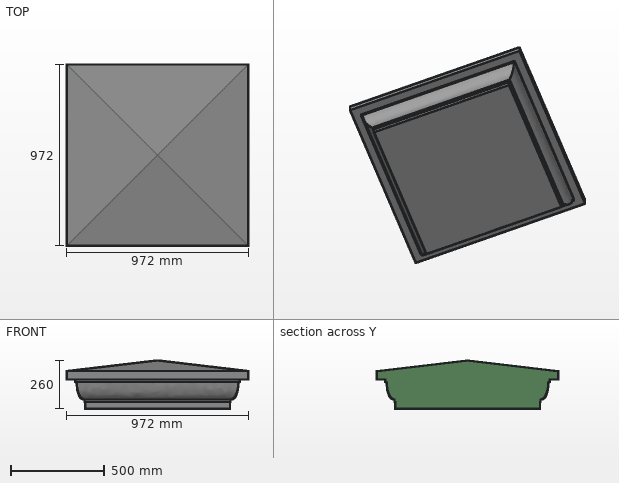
import cadquery as cq

slab_width = 972.0
total_height = 260.0
plinth_width = 775.0

plinth_top = 37.0
lower_fillet_top = 50.0
ovolo_top = 138.0
upper_fillet_bottom = 145.0
slab_bottom = 157.0
slab_top = 203.0

lower_fillet_width = 782.0
ovolo_bottom_width = 789.0
ovolo_shoulder_width = 839.0
ovolo_shoulder_height = 73.0
ovolo_top_width = 865.0
upper_fillet_width = 880.0

bottom_tangent = (1, 0.4)
shoulder_tangent = (0.4, 1)
neck_tangent = (0, 1)
flare_tangent = (1, 0.5)


def square_block(width, bottom, top):
    """Square block centred on the vertical axis."""
    return cq.Workplane("XY", origin=(0, 0, bottom)).rect(width, width).extrude(top - bottom)


def moulding_prism():
    """Extrude the moulding outline along Y across the full slab width."""
    half_outline = (
        cq.Workplane("XZ", origin=(0, slab_width / 2, 0))
        .moveTo(0, lower_fillet_top)
        .lineTo(ovolo_bottom_width / 2, lower_fillet_top)
        .spline(
            [
                (ovolo_shoulder_width / 2, ovolo_shoulder_height),
                (ovolo_top_width / 2, ovolo_top),
                (upper_fillet_width / 2, upper_fillet_bottom),
            ],
            tangents=[bottom_tangent, shoulder_tangent, neck_tangent, flare_tangent],
            includeCurrent=True,
        )
        .lineTo(0, upper_fillet_bottom)
        .close()
        .extrude(slab_width)
    )
    return half_outline.union(half_outline.mirror("YZ"))


def mitred_ovolo():
    """Intersect two crossed mouldings so the four faces meet in mitred corners."""
    along_y = moulding_prism()
    along_x = along_y.rotate((0, 0, 0), (0, 0, 1), 90)
    return along_y.intersect(along_x)


def pyramid_roof():
    """Four-sided roof rising from the slab edges to a central point."""
    half = slab_width / 2
    corners = [(-half, -half), (half, -half), (half, half), (-half, half)]
    eaves = [cq.Vector(x, y, slab_top) for x, y in corners]
    apex = cq.Vector(0, 0, total_height)
    faces = [cq.Face.makeFromWires(cq.Wire.makePolygon(eaves, close=True))]
    for index, corner in enumerate(eaves):
        triangle = [corner, eaves[(index + 1) % len(eaves)], apex]
        faces.append(cq.Face.makeFromWires(cq.Wire.makePolygon(triangle, close=True)))
    return cq.Workplane(obj=cq.Solid.makeSolid(cq.Shell.makeShell(faces)))


result = (
    square_block(plinth_width, 0, plinth_top)
    .union(square_block(lower_fillet_width, plinth_top, lower_fillet_top))
    .union(mitred_ovolo())
    .union(square_block(upper_fillet_width, upper_fillet_bottom, slab_bottom))
    .union(square_block(slab_width, slab_bottom, slab_top))
    .union(pyramid_roof())
)